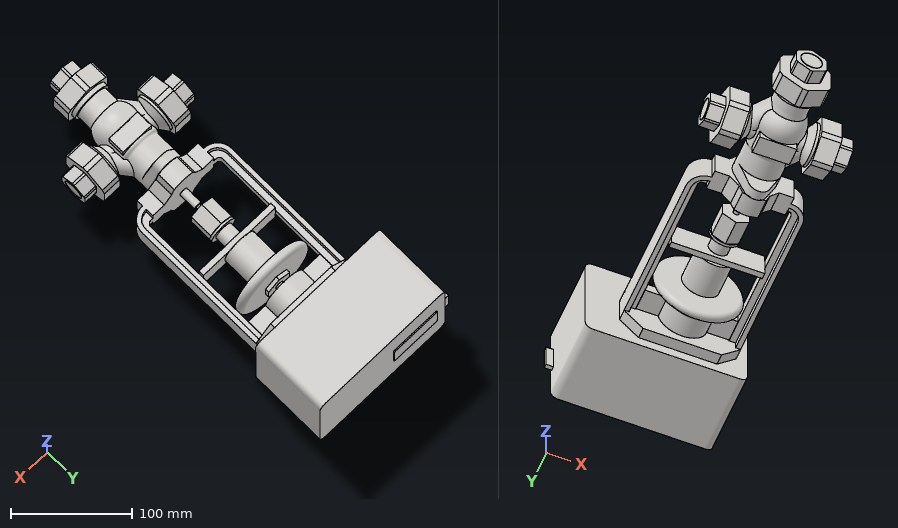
import cadquery as cq
import math


housing_x_min = -82.5
housing_width = 145.0
housing_y_min = 213.3
housing_depth = 76.0
housing_z_min = -40.5
housing_height = 95.0
housing_corner_radius = 7.0
housing_y_max = housing_y_min + housing_depth
housing_x_max = housing_x_min + housing_width
housing_z_max = housing_z_min + housing_height

tab_reach = 6.5
tab_thickness = 4.0
tab_y_min = 282.5
tab_z_min = -5.5
tab_height = 25.5
cover_x_min = -72.7
cover_width = 49.8
cover_thickness = 1.0

yoke_half_width = 52.0
yoke_half_height = 13.0
yoke_y_min = 52.8
yoke_bend_radius = 16.2
wall_thickness = 4.5
web_half_width = 41.7
web_half_height = 6.0
web_corner_radius = 3.7
plate_thickness = 10.0
plate_half_height = 30.3
plate_chamfer = 17.0
plate_y_min = housing_y_min - plate_thickness
top_bar_y_min = 183.5
top_bar_half_height = 4.8
brace_y_min = 125.5
brace_thickness = 5.5

collar_y_min = 46.0
collar_y_max = 65.0
collar_block_half_width = 35.5
collar_crown_z = 33.0
collar_crown_half_width = 10.7
collar_crown_edge_z = 30.3
collar_shoulder_half_width = 13.5
collar_shoulder_z = 22.5
collar_foot_half_width = 22.0

socket_radius = 22.0
stem_radius = 4.0
hub_y_max = 178.0
hex_flats = 24.5
wheel_y_max = 174.0
wheel_radius = 40.2
wheel_thickness = 10.5
sleeve_radius = 17.0
rod_radius = 9.0
washer_radius = 13.5
washer_y_min = 109.5
washer_y_max = 112.0
lock_nut_y_min = 86.5
stem_tip_radius = 2.5
stem_tip_y_min = 82.3

neck_radius = 20.0
shoulder_radius = 21.8
body_radius = 22.5
body_sphere_y = -12.0
neck_blend_y_max = 16.2
neck_blend_y_min = 11.8
outlet_taper_radius = 17.0
outlet_taper_end_y = -31.7
outlet_radius = 16.5

flange_lug_radius = 10.0
flange_lug_z = 24.7
flange_rim_y = 37.3
flange_root_y = 35.0

pad_half_width = 16.5
pad_half_height = 23.0
pad_y_min = -6.0
pad_y_max = 10.7

passage_radius = 11.8
passage_offset = 20.5
passage_angle = 52
passage_length = 32.0

side_nut_start = 32.0
bottom_nut_start = 47.2
nut_length = 18.0
nut_flats = 45.8
nut_corner_radius = 25.0
nipple_flats = 27.3
nipple_corner_radius = 15.0
nipple_recess_radius = 9.5
nipple_recess_depth = 0.5
side_port_end = 64.0
bottom_port_end = 78.5
port_collar_radius = 19.2
side_collar_start = 29.5
side_cone_start = 23.5
side_neck_radius = 11.8
bottom_collar_start = 42.8


def box(x_min, x_max, y_min, y_max, z_min, z_max):
    """Axis-aligned block between the given limits."""
    size = (x_max - x_min, y_max - y_min, z_max - z_min)
    return cq.Workplane("XY").box(*size, centered=False).translate((x_min, y_min, z_min))


def section_at(y_min):
    """Workplane across the stem at y_min: local axes are -X and Z, extrusion runs toward +Y."""
    return cq.Workplane(cq.Plane(origin=(0, y_min, 0), xDir=(-1, 0, 0), normal=(0, 1, 0)))


def rod(radius, y_min, y_max):
    """Round bar on the stem axis."""
    return section_at(y_min).circle(radius).extrude(y_max - y_min)


def hexagon(flats, y_min, y_max):
    """Hexagonal bar on the stem axis with corners pointing up and down."""
    corner_diameter = flats / math.cos(math.pi / 6)
    length = y_max - y_min
    return section_at(y_min).transformed(rotate=(0, 0, 90)).polygon(6, corner_diameter).extrude(length)


def make_housing():
    housing = box(
        housing_x_min, housing_x_max, housing_y_min, housing_y_max, housing_z_min, housing_z_max
    ).edges("|Y").fillet(housing_corner_radius)
    tab_z_max = tab_z_min + tab_height
    tab = box(
        housing_x_min - tab_reach, housing_x_min, tab_y_min, tab_y_min + tab_thickness, tab_z_min, tab_z_max
    )
    cover = box(
        cover_x_min, cover_x_min + cover_width, housing_y_max, housing_y_max + cover_thickness,
        tab_z_min, tab_z_max,
    )
    return housing.union(tab).union(cover)


def make_yoke():
    """U-shaped frame of T section: a tall outer wall on a lower inner web, with plate and brace."""
    wall = box(
        -yoke_half_width, yoke_half_width, yoke_y_min, plate_y_min, -yoke_half_height, yoke_half_height
    ).edges("|Z and <Y").fillet(yoke_bend_radius)
    inner_half_width = yoke_half_width - wall_thickness
    wall_opening = box(
        -inner_half_width, inner_half_width, yoke_y_min + wall_thickness, plate_y_min,
        -yoke_half_height, yoke_half_height,
    ).edges("|Z and <Y").fillet(yoke_bend_radius - wall_thickness)
    web = box(
        -yoke_half_width, yoke_half_width, yoke_y_min, plate_y_min, -web_half_height, web_half_height
    ).edges("|Z and <Y").fillet(yoke_bend_radius)
    web_opening = box(
        -web_half_width, web_half_width, collar_y_max, plate_y_min, -web_half_height, web_half_height
    ).edges("|Z and <Y").fillet(web_corner_radius)
    plate = box(
        -yoke_half_width, yoke_half_width, plate_y_min, housing_y_min, -plate_half_height, plate_half_height
    ).edges("|Y").chamfer(plate_chamfer)
    top_bar = box(
        -web_half_width, web_half_width, top_bar_y_min, plate_y_min, -top_bar_half_height, top_bar_half_height
    )
    brace = box(
        -web_half_width, web_half_width, brace_y_min, brace_y_min + brace_thickness,
        -yoke_half_height, yoke_half_height,
    )
    frame = wall.cut(wall_opening).union(web.cut(web_opening))
    return frame.union(plate).union(top_bar).union(brace)


def make_collar():
    length = collar_y_max - collar_y_min
    block = box(
        -collar_block_half_width, collar_block_half_width, collar_y_min, collar_y_max,
        -yoke_half_height, yoke_half_height,
    )
    lugs = (
        section_at(collar_y_min)
        .moveTo(-collar_crown_half_width, collar_crown_edge_z)
        .threePointArc((0, collar_crown_z), (collar_crown_half_width, collar_crown_edge_z))
        .lineTo(collar_shoulder_half_width, collar_shoulder_z)
        .lineTo(collar_foot_half_width, yoke_half_height)
        .lineTo(collar_foot_half_width, -yoke_half_height)
        .lineTo(collar_shoulder_half_width, -collar_shoulder_z)
        .lineTo(collar_crown_half_width, -collar_crown_edge_z)
        .threePointArc((0, -collar_crown_z), (-collar_crown_half_width, -collar_crown_edge_z))
        .lineTo(-collar_shoulder_half_width, -collar_shoulder_z)
        .lineTo(-collar_foot_half_width, -yoke_half_height)
        .lineTo(-collar_foot_half_width, yoke_half_height)
        .lineTo(-collar_shoulder_half_width, collar_shoulder_z)
        .close()
        .extrude(length)
    )
    return block.union(lugs)


def make_handwheel():
    """Solid disc whose rim is a full round."""
    rim_radius = wheel_thickness / 2
    disc_radius = wheel_radius - rim_radius
    wheel_y_min = wheel_y_max - wheel_thickness
    return (
        cq.Workplane("XY")
        .moveTo(0, wheel_y_min)
        .lineTo(disc_radius, wheel_y_min)
        .threePointArc((wheel_radius, wheel_y_min + rim_radius), (disc_radius, wheel_y_max))
        .lineTo(0, wheel_y_max)
        .close()
        .revolve(360, (0, 0, 0), (0, 1, 0))
    )


def make_drive_stem():
    brace_y_max = brace_y_min + brace_thickness
    return (
        rod(socket_radius, top_bar_y_min, plate_y_min)
        .union(rod(stem_radius, hub_y_max, top_bar_y_min))
        .union(hexagon(hex_flats, wheel_y_max, hub_y_max))
        .union(make_handwheel())
        .union(rod(sleeve_radius, brace_y_max, wheel_y_max - wheel_thickness))
        .union(rod(rod_radius, washer_y_max, brace_y_min))
        .union(rod(washer_radius, washer_y_min, washer_y_max))
        .union(hexagon(hex_flats, lock_nut_y_min, washer_y_min))
        .union(rod(stem_tip_radius, stem_tip_y_min, lock_nut_y_min))
        .union(rod(stem_radius, collar_y_max, stem_tip_y_min))
    )


def make_actuator():
    return make_housing().union(make_yoke()).union(make_collar()).union(make_drive_stem())


def make_valve_body():
    """Neck, ball-shaped chamber and bottom outlet, turned about the stem axis."""
    taper_drop = math.sqrt(body_radius**2 - outlet_taper_radius**2)
    shoulder_rise = math.sqrt(body_radius**2 - shoulder_radius**2)
    return (
        cq.Workplane("XY")
        .moveTo(0, collar_y_min)
        .lineTo(neck_radius, collar_y_min)
        .lineTo(neck_radius, neck_blend_y_max)
        .tangentArcPoint(
            ((neck_radius + shoulder_radius) / 2, (neck_blend_y_max + neck_blend_y_min) / 2), relative=False
        )
        .tangentArcPoint((shoulder_radius, neck_blend_y_min), relative=False)
        .lineTo(shoulder_radius, body_sphere_y + shoulder_rise)
        .threePointArc(
            (body_radius, body_sphere_y),
            (outlet_taper_radius, body_sphere_y - taper_drop),
        )
        .lineTo(outlet_radius, outlet_taper_end_y)
        .lineTo(outlet_radius, -bottom_collar_start)
        .lineTo(port_collar_radius, -bottom_collar_start)
        .lineTo(port_collar_radius, -bottom_nut_start)
        .lineTo(0, -bottom_nut_start)
        .close()
        .revolve(360, (0, 0, 0), (0, 1, 0))
    )


def make_flange():
    """Oval two-lug flange, its sides tangent to the neck, with a shallow conical underside."""
    tangent_sine = (neck_radius - flange_lug_radius) / flange_lug_z
    tangent_cosine = math.sqrt(1 - tangent_sine**2)
    neck_x = neck_radius * tangent_cosine
    neck_z = neck_radius * tangent_sine
    lug_x = flange_lug_radius * tangent_cosine
    lug_z = flange_lug_z + flange_lug_radius * tangent_sine
    tip_z = flange_lug_z + flange_lug_radius
    oval = (
        section_at(flange_root_y)
        .moveTo(-lug_x, lug_z)
        .threePointArc((0, tip_z), (lug_x, lug_z))
        .lineTo(neck_x, neck_z)
        .threePointArc((neck_radius, 0), (neck_x, -neck_z))
        .lineTo(lug_x, -lug_z)
        .threePointArc((0, -tip_z), (-lug_x, -lug_z))
        .lineTo(-neck_x, -neck_z)
        .threePointArc((-neck_radius, 0), (-neck_x, neck_z))
        .close()
        .extrude(collar_y_min - flange_root_y)
    )
    cone = (
        cq.Workplane("XY")
        .polyline([
            (0, flange_root_y), (neck_radius, flange_root_y), (tip_z, flange_rim_y),
            (tip_z, collar_y_min), (0, collar_y_min),
        ])
        .close()
        .revolve(360, (0, 0, 0), (0, 1, 0))
    )
    return oval.intersect(cone)


def make_pad():
    return box(
        -pad_half_width, pad_half_width, pad_y_min, pad_y_max, -pad_half_height, pad_half_height
    )


def make_blunt_hexagon(flats, corner_radius, start, end):
    """Hexagonal bar running toward -Y, its corners turned down to corner_radius."""
    return hexagon(flats, -end, -start).intersect(rod(corner_radius, -end, -start))


def make_union_nut(start, end):
    """Union nut followed by its nipple, running toward -Y, with a shallow round recess in the end."""
    nut_end = start + nut_length
    nut = make_blunt_hexagon(nut_flats, nut_corner_radius, start, nut_end)
    nipple = make_blunt_hexagon(nipple_flats, nipple_corner_radius, nut_end, end)
    recess = rod(nipple_recess_radius, -end, -end + nipple_recess_depth)
    return nut.union(nipple).cut(recess)


def make_side_port():
    """Port toward +X: round neck, flared collar, nut and slanted passage rising to the valve neck."""
    flare = (
        cq.Workplane("XY")
        .polyline([
            (0, 0), (0, side_neck_radius), (side_cone_start, side_neck_radius),
            (side_collar_start, port_collar_radius), (side_nut_start, port_collar_radius),
            (side_nut_start, 0),
        ])
        .close()
        .revolve(360, (0, 0, 0), (1, 0, 0))
    )
    slant = math.radians(passage_angle)
    passage = (
        cq.Workplane(cq.Plane(
            origin=(passage_offset / math.sin(slant), 0, 0),
            xDir=(0, 0, 1),
            normal=(-math.cos(slant), math.sin(slant), 0),
        ))
        .circle(passage_radius)
        .extrude(passage_length)
    )
    nut = make_union_nut(side_nut_start, side_port_end).rotate((0, 0, 0), (0, 0, 1), 90)
    return flare.union(passage).union(nut)


def make_valve():
    valve = make_valve_body().union(make_flange()).union(make_pad())
    valve = valve.union(make_union_nut(bottom_nut_start, bottom_port_end))
    for turn in (0, 180):
        valve = valve.union(make_side_port().rotate((0, 0, 0), (0, 0, 1), turn))
    return valve


actuator = make_actuator()
valve = make_valve()

result = cq.Compound.makeCompound([actuator.val(), valve.val()])